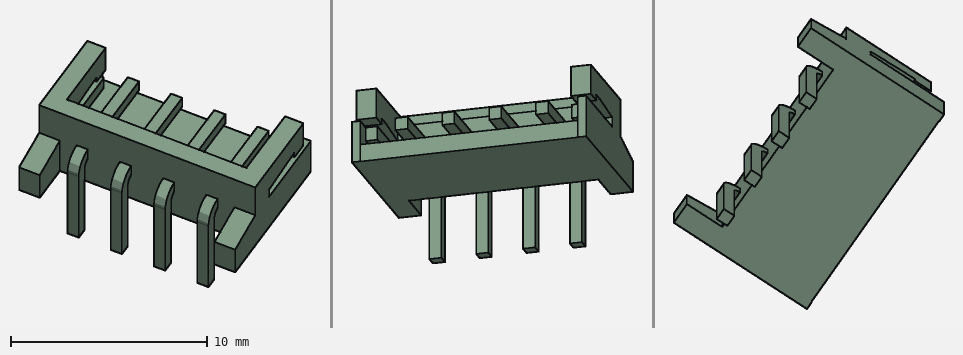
import cadquery as cq

length = 12.5
depth = 8.2
height = 4.22

floor_thickness = 0.92
floor_setback = 0.02
plate_thickness = 0.45
plate_height = 2.21
foot_width = 1.2
foot_end_height = 1.65

wall_back = 2.18
wall_front = 3.68
wall_front_at_top = 3.2
wall_vertical_height = 3.52

rail_bottom = 1.49
rail_end = 7.2

arm_width = 1.06
arm_end = 7.39
hook_length = 0.98
hook_bottom = 2.62
slot_ceiling = 2.92
slot_ceiling_at_wall = 2.72
slot_ceiling_bend = 5.81

pin_count = 4
pin_pitch = 2.5
pin_size = 0.65
pin_top = 2.35
pin_tip = 7.7
pin_bottom = height - 7.4
post_front = 1.18
bend_outer_radius = 1.06


def extrude_profile(profile, x_start, width):
    """Extrude a closed YZ profile along X from x_start."""
    return profile.close().extrude(width).translate((x_start, 0, 0))


def make_floor():
    floor_depth = depth - floor_setback - wall_back
    return cq.Workplane("XY").box(length, floor_depth, floor_thickness, centered=False).translate(
        (0, wall_back, 0)
    )


def make_wall():
    profile = cq.Workplane("YZ").polyline([
        (wall_back, 0),
        (wall_front, 0),
        (wall_front, wall_vertical_height),
        (wall_front_at_top, height),
        (wall_back, height),
    ])
    return extrude_profile(profile, 0, length)


def make_side_plate(x_start):
    return cq.Workplane("XY").box(
        plate_thickness, depth - wall_back, plate_height, centered=False
    ).translate((x_start, wall_back, 0))


def make_rail(x_start):
    return cq.Workplane("XY").box(
        arm_width, rail_end - wall_back, plate_height - rail_bottom, centered=False
    ).translate((x_start, wall_back, rail_bottom))


def make_foot(x_start):
    profile = cq.Workplane("YZ").polyline([
        (0, 0),
        (wall_back, 0),
        (wall_back, plate_height),
        (0, foot_end_height),
    ])
    return extrude_profile(profile, x_start, foot_width)


def make_arm(x_start):
    """Arm with a hook at its free end and a slot ceiling that slopes down to the wall."""
    hook_start = arm_end - hook_length
    profile = cq.Workplane("YZ").polyline([
        (wall_back, height),
        (arm_end, height),
        (arm_end, hook_bottom),
        (hook_start, hook_bottom),
        (hook_start, slot_ceiling),
        (slot_ceiling_bend, slot_ceiling),
        (wall_front, slot_ceiling_at_wall),
        (wall_back, slot_ceiling_at_wall),
    ])
    return extrude_profile(profile, x_start, arm_width)


def make_pin(x_center):
    """Square pin that leaves the wall, bends down and ends in a vertical post."""
    path_radius = bend_outer_radius - pin_size / 2
    post_center = post_front + pin_size / 2
    bend_center_y = post_front + bend_outer_radius
    bend_center_z = pin_top - bend_outer_radius
    path = (
        cq.Workplane("YZ", origin=(x_center, 0, 0))
        .moveTo(post_center, pin_bottom)
        .lineTo(post_center, bend_center_z)
        .tangentArcPoint((bend_center_y, bend_center_z + path_radius), relative=False)
        .lineTo(pin_tip, bend_center_z + path_radius)
    )
    section = cq.Workplane("XY", origin=(x_center, post_center, pin_bottom)).rect(pin_size, pin_size)
    return section.sweep(path)


result = make_floor().union(make_wall())

for make_side_part, width in (
    (make_side_plate, plate_thickness),
    (make_rail, arm_width),
    (make_foot, foot_width),
    (make_arm, arm_width),
):
    for x_start in (0, length - width):
        result = result.union(make_side_part(x_start))

first_pin_x = (length - (pin_count - 1) * pin_pitch) / 2
for index in range(pin_count):
    result = result.union(make_pin(first_pin_x + index * pin_pitch))